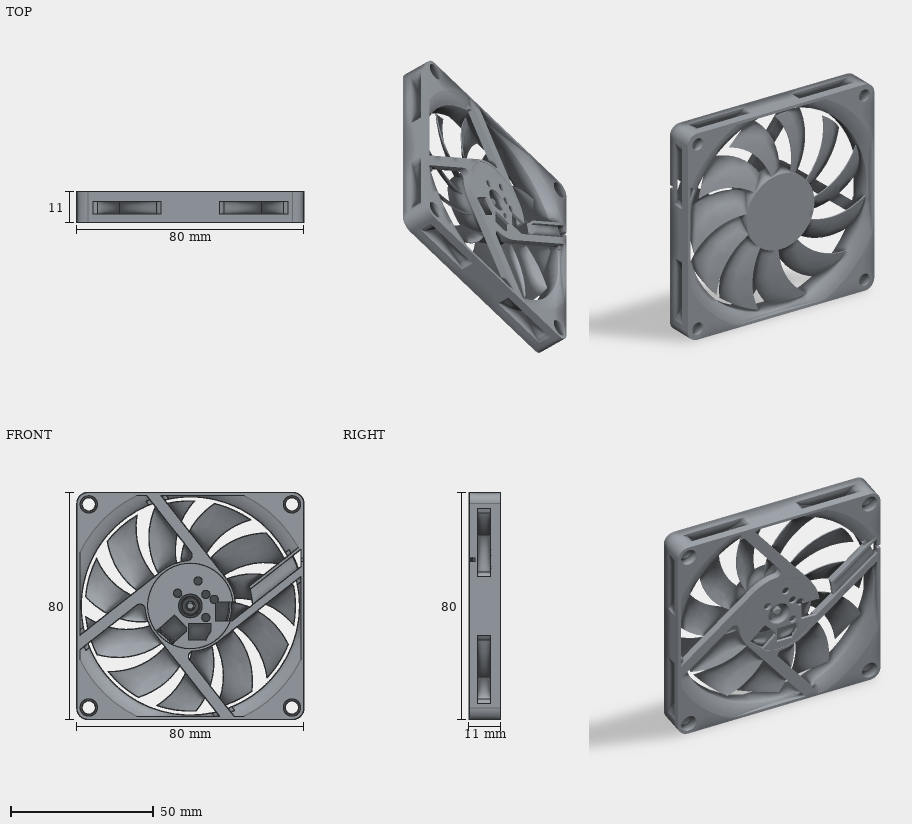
import cadquery as cq
import math

SIDE = 80.0
DEPTH = 11.0
HALF = SIDE / 2
CORNER_R = 4.0
SCREW_PITCH = 71.5
SCREW_R = 2.3
SCREW_RECESS_R = 3.0
SCREW_RECESS_DEPTH = 3.2
RIM_WALL = 1.1
DUCT_R = 38.4
DUCT_WALL_R = 40.2
FLARE_R = 43.2
FLARE_DEPTH = 2.4
FLARE_BULGE = 0.4
OPENING_HALF = HALF - RIM_WALL

POCKET_START = 10.3
POCKET_END = 34.3
POCKET_FRONT = 3.0
POCKET_WIDTH = 4.6
POCKET_LEAD_IN = 1.6
POCKET_END_STEP = 0.7
CORNER_WEB_HALF = 4.6

BASE_R = 15.9
ARM_THICKNESS = 2.7
DISC_BACK = 1.2
DISC_R = 15.0
DISC_RECESS = 0.2
ARM_ANGLE = 38.2
ARM_WIDTH = 4.0
CABLE_ARM_WIDTH = 2.7
PLAIN_ARM_QUARTERS = (1, 2, 3)
ARM_FILLET = 1.9
PAD_OVERHANG = 1.4
ARM_OUTER = -BASE_R
ARM_INNER = ARM_OUTER + ARM_WIDTH
CABLE_ARM_INNER = ARM_OUTER + CABLE_ARM_WIDTH

CHANNEL_WIDTH = 4.8
LIP_WIDTH = 1.0
CHANNEL_OUTER = CABLE_ARM_INNER + CHANNEL_WIDTH
LIP_OUTER = CHANNEL_OUTER + LIP_WIDTH
CHANNEL_START_R = 21.8
CHANNEL_FLOOR = 1.2
SLIT_WIDTH = 1.2
SLIT_Z = 16.3
SLIT_DEPTH = 2.0

BEARING_BORE_R = 4.2
TUBE_R = 4.8
TUBE_END = 8.0
PEG_HOLE_R = 1.4
PEG_HOLES = [(2.7, 8.8), (-4.5, 4.5), (5.4, 4.1), (8.4, 2.3), (5.4, -4.1)]
SIDE_WINDOW_LEFT = 8.9
SIDE_WINDOW_TOP = 1.4
SIDE_WINDOW_BOTTOM = -5.3
LOWER_WINDOW = [(-0.7, -6.2), (7.2, -6.2), (7.2, -8.9), (5.4, -12.0), (-0.7, -12.0)]
TILTED_WINDOW = [(-5.6, -3.2), (-1.3, -7.7), (-1.3, -8.8), (-6.2, -13.2), (-11.6, -8.6)]

CUP_R = 14.6
CUP_INNER_R = 13.4
CUP_CHAMFER = 0.5
CUP_FRONT = 3.6
CUP_BACK = 10.7
CUP_FLOOR = 1.0
SHAFT_R = 1.6
SHAFT_CHAMFER = 0.5
SHAFT_FRONT = 1.4
SHAFT_STEPS = [(3.4, 0.8), (2.9, 1.6)]

BLADE_COUNT = 11
BLADE_TIP_R = 37.0
BLADE_ROOT_R = 14.0
BACK_EDGE_ANGLE = 141.5
BACK_EDGE_SWEEP = (13.0, 8.2)
FRONT_EDGE_ANGLE = 169.0
FRONT_EDGE_SWEEP = (21.5, 5.3)
ROOT_FRONT, ROOT_BACK = 4.7, 9.8
TIP_FRONT, TIP_BACK = 4.2, 9.4
BLADE_CAMBER = 0.6
BLADE_THICKNESS = 0.5
SPAN_STEPS = 8
CHORD_STEPS = 4


def front_plane(y):
    """Sketch plane parallel to the front face at depth y; local x, y are X, Z and extrusion goes to -Y."""
    return cq.Workplane("XZ", origin=(0, y, 0))


def slab(sketch, thickness):
    """Extrude a sketch towards the back of the fan."""
    return sketch.extrude(-thickness)


def disc(radius, y_start, y_end):
    return slab(front_plane(y_start).circle(radius), y_end - y_start)


def turn(body, angle):
    """Turn a body about the fan axis, counterclockwise as seen from the front."""
    return body.rotate((0, 0, 0), (0, -1, 0), angle)


def strip(low, high, start, end, y_start, y_end):
    """Bar along the cable arm: low and high are offsets across it, start and end positions along it."""
    bar = front_plane(y_start).center((start + end) / 2, (low + high) / 2).rect(end - start, high - low)
    return turn(slab(bar, y_end - y_start), ARM_ANGLE)


def square_opening(y_start, y_end):
    return slab(front_plane(y_start).rect(2 * OPENING_HALF, 2 * OPENING_HALF), y_end - y_start)


def frame_block():
    block = slab(front_plane(0).rect(SIDE, SIDE), DEPTH).edges("|Y").fillet(CORNER_R)
    screws = front_plane(0).rect(SCREW_PITCH, SCREW_PITCH, forConstruction=True).vertices()
    recesses = slab(screws.circle(SCREW_RECESS_R), SCREW_RECESS_DEPTH)
    return block.cut(slab(screws.circle(SCREW_R), DEPTH)).cut(recesses)


def air_duct():
    """Round duct whose two mouths flare out and are clipped to a square."""
    bow = FLARE_BULGE / math.hypot(FLARE_R - DUCT_R, FLARE_DEPTH)
    bow_r = (FLARE_R + DUCT_R) / 2 - bow * FLARE_DEPTH
    bow_y = FLARE_DEPTH / 2 - bow * (FLARE_R - DUCT_R)
    duct = (
        cq.Workplane("XY")
        .moveTo(0, 0)
        .lineTo(FLARE_R, 0)
        .threePointArc((bow_r, bow_y), (DUCT_R, FLARE_DEPTH))
        .lineTo(DUCT_R, DEPTH - FLARE_DEPTH)
        .threePointArc((bow_r, DEPTH - bow_y), (FLARE_R, DEPTH))
        .lineTo(0, DEPTH)
        .close()
        .revolve(360, (0, 0, 0), (0, 1, 0))
    )
    return duct.intersect(square_opening(0, DEPTH))


def side_pocket():
    """Pocket in the top side: its floor is the duct wall, its outer end the diagonal corner web."""
    lead_in_x = POCKET_START + POCKET_LEAD_IN
    lead_in_z = math.sqrt(DUCT_WALL_R**2 - lead_in_x**2)
    web_angle = math.radians(45) + math.asin(CORNER_WEB_HALF / DUCT_WALL_R)
    deep_x = DUCT_WALL_R * math.cos(web_angle)
    deep_z = DUCT_WALL_R * math.sin(web_angle)
    middle_angle = (web_angle + math.atan2(lead_in_z, lead_in_x)) / 2
    step_z = HALF - POCKET_END_STEP
    step_x = step_z - CORNER_WEB_HALF * math.sqrt(2)
    outline = (
        front_plane(POCKET_FRONT)
        .moveTo(POCKET_START, HALF)
        .lineTo(lead_in_x, lead_in_z)
        .threePointArc(
            (DUCT_WALL_R * math.cos(middle_angle), DUCT_WALL_R * math.sin(middle_angle)),
            (deep_x, deep_z),
        )
        .lineTo(step_x, step_z)
        .lineTo(POCKET_END, HALF)
        .close()
    )
    return slab(outline, POCKET_WIDTH)


def arm_pads(low, high):
    """Flat shoulders where an arm lands on the duct wall."""
    ring = disc(DUCT_WALL_R, CHANNEL_FLOOR, ARM_THICKNESS).cut(disc(DUCT_R, CHANNEL_FLOOR, ARM_THICKNESS))
    reach = strip(low - PAD_OVERHANG, high + PAD_OVERHANG, 0, HALF, 0, DEPTH)
    return ring.intersect(reach).intersect(square_opening(0, DEPTH))


def base_and_arms():
    """Round base plate with three plain arms and the narrower cable arm, all tangent to the plate."""
    spider = disc(BASE_R, 0, ARM_THICKNESS)
    for quarter in PLAIN_ARM_QUARTERS:
        arm = strip(ARM_OUTER, ARM_INNER, 0, SIDE, 0, ARM_THICKNESS)
        spider = spider.union(turn(arm, 90 * quarter))
    offset = -ARM_INNER
    along = math.sqrt(BASE_R**2 - offset**2)
    for quarter in PLAIN_ARM_QUARTERS:
        angle = math.radians(ARM_ANGLE + 90 * quarter)
        x = along * math.cos(angle) + offset * math.sin(angle)
        z = along * math.sin(angle) - offset * math.cos(angle)
        inner_corner = cq.selectors.NearestToPointSelector((x, ARM_THICKNESS / 2, z))
        spider = spider.edges("|Y").edges(inner_corner).fillet(ARM_FILLET)
    spider = spider.union(strip(ARM_OUTER, CABLE_ARM_INNER, 0, SIDE, 0, ARM_THICKNESS))
    return spider.intersect(square_opening(0, ARM_THICKNESS))


def cable_channel():
    """Channel floor and its raised lip, both starting on a circle about the fan axis."""
    floor = strip(CABLE_ARM_INNER, CHANNEL_OUTER, 0, SIDE, CHANNEL_FLOOR, ARM_THICKNESS)
    floor = floor.intersect(disc(DUCT_WALL_R, 0, DEPTH))
    lip = strip(CHANNEL_OUTER, LIP_OUTER, 0, SIDE, 0, ARM_THICKNESS)
    channel = floor.union(lip).cut(disc(CHANNEL_START_R, 0, DEPTH))
    return channel.intersect(square_opening(0, DEPTH))


def cable_exit():
    """Opening between cable arm and lip, outside the duct wall, with a slit in the rim."""
    gap = strip(CABLE_ARM_INNER, CHANNEL_OUTER, 0, SIDE, 0, DEPTH).intersect(square_opening(0, DEPTH))
    gap = gap.cut(disc(DUCT_WALL_R, 0, DEPTH))
    slit = front_plane(0).center(HALF, SLIT_Z).rect(2 * RIM_WALL, SLIT_WIDTH)
    return gap.union(slab(slit, SLIT_DEPTH))


def base_openings():
    """Recessed disc, peg holes and the three windows, leaving a raised rim at the back."""
    cut = disc(DISC_R, 0, DISC_RECESS).union(disc(DISC_R, DISC_BACK, ARM_THICKNESS))
    cut = cut.union(slab(front_plane(0).pushPoints(PEG_HOLES).circle(PEG_HOLE_R), DISC_BACK))
    for outline in (LOWER_WINDOW, TILTED_WINDOW):
        cut = cut.union(slab(front_plane(0).polyline(outline).close(), DISC_BACK))
    width = 2 * (BASE_R - SIDE_WINDOW_LEFT)
    window = (
        front_plane(0)
        .moveTo(SIDE_WINDOW_LEFT, SIDE_WINDOW_BOTTOM)
        .rect(width, SIDE_WINDOW_TOP - SIDE_WINDOW_BOTTOM, centered=False)
    )
    side_window = slab(window, ARM_THICKNESS)
    side_window = side_window.cut(strip(-SIDE, CABLE_ARM_INNER, 0, SIDE, 0, DEPTH))
    return cut.union(side_window)


def build_frame():
    frame = frame_block().cut(air_duct())
    pocket = side_pocket()
    for quarter in range(4):
        frame = frame.cut(turn(pocket, 90 * quarter))
        frame = frame.cut(turn(pocket.mirror("YZ"), 90 * quarter))
    frame = frame.cut(cable_exit())
    frame = frame.union(base_and_arms().cut(base_openings())).union(cable_channel())
    cable_pads = arm_pads(ARM_OUTER, LIP_OUTER)
    frame = frame.union(cable_pads)
    plain_pads = arm_pads(ARM_OUTER, ARM_INNER)
    for quarter in PLAIN_ARM_QUARTERS:
        frame = frame.union(turn(plain_pads, 90 * quarter))
    frame = frame.union(disc(TUBE_R, DISC_RECESS, TUBE_END))
    return frame.cut(disc(BEARING_BORE_R, 0, TUBE_END))


def blade_point(radius, chord):
    """Point on the front side of a blade; chord runs from 0 at the back edge to 1 at the front edge."""
    span = (radius - CUP_R) / (BLADE_TIP_R - CUP_R)
    back_angle = BACK_EDGE_ANGLE - BACK_EDGE_SWEEP[0] * span - BACK_EDGE_SWEEP[1] * span**2
    front_angle = FRONT_EDGE_ANGLE - FRONT_EDGE_SWEEP[0] * span - FRONT_EDGE_SWEEP[1] * span**2
    angle = math.radians(back_angle + (front_angle - back_angle) * chord)
    back_y = ROOT_BACK + (TIP_BACK - ROOT_BACK) * span
    front_y = ROOT_FRONT + (TIP_FRONT - ROOT_FRONT) * span
    y = back_y + (front_y - back_y) * chord + BLADE_CAMBER * 4 * chord * (1 - chord)
    return cq.Vector(radius * math.cos(angle), y, radius * math.sin(angle))


def blade():
    """One swept, twisted blade: a smooth surface given an even thickness along the axis."""
    grid = []
    for i in range(SPAN_STEPS + 1):
        radius = BLADE_ROOT_R + (BLADE_TIP_R - BLADE_ROOT_R) * i / SPAN_STEPS
        grid.append([blade_point(radius, j / CHORD_STEPS) for j in range(CHORD_STEPS + 1)])
    surface = cq.Face.makeSplineApprox(grid, tol=0.01)
    return cq.Workplane(cq.Solid.extrudeLinear(surface, cq.Vector(0, BLADE_THICKNESS, 0)))


def build_rotor():
    cup_floor = CUP_BACK - CUP_FLOOR
    one_blade = blade()
    blades = [turn(one_blade, 360 * i / BLADE_COUNT).val() for i in range(BLADE_COUNT)]
    rotor = cq.Workplane(disc(CUP_R, CUP_FRONT, CUP_BACK).val().fuse(*blades))
    cavity = disc(CUP_INNER_R, CUP_FRONT, cup_floor)
    lead_in = front_plane(CUP_FRONT).circle(CUP_INNER_R + CUP_CHAMFER).extrude(-CUP_CHAMFER, taper=45)
    rotor = rotor.cut(cavity).cut(lead_in)
    for radius, height in SHAFT_STEPS:
        rotor = rotor.union(disc(radius, cup_floor - height, cup_floor))
    shaft = disc(SHAFT_R, SHAFT_FRONT, cup_floor).faces("<Y").chamfer(SHAFT_CHAMFER)
    return rotor.union(shaft)


frame = build_frame()
rotor = build_rotor()
result = cq.Compound.makeCompound([*frame.vals(), *rotor.vals()])